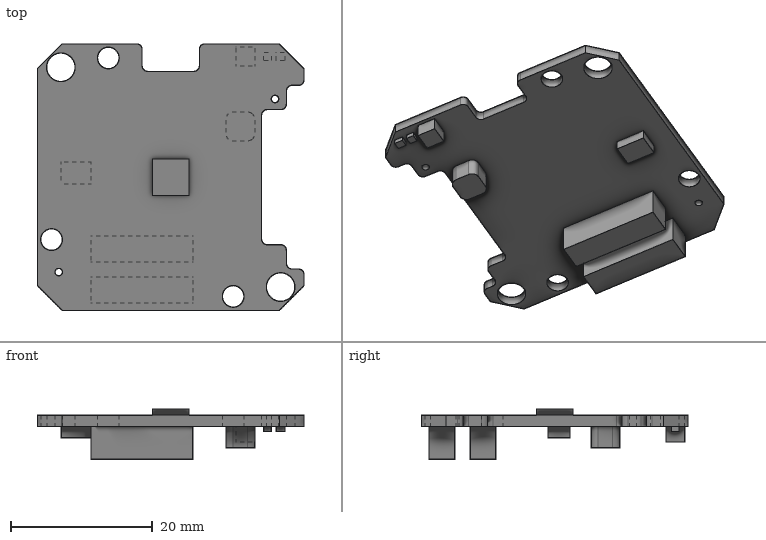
import cadquery as cq

board_size = 37.6
board_half = board_size / 2
board_thickness = 1.6
corner_cut = 3.5

outline_radius = 0.8
notch_width = 8.05
notch_depth = 3.87
recess_depth = 5.98
recess_half_length = 9.5
step_depth = 2.5
step_half_length = 12.95

large_hole_diameter = 4.0
large_hole_offset = 15.5
medium_hole_diameter = 3.0
medium_hole_near = 8.8
medium_hole_far = 16.8
small_hole_diameter = 1.0
small_hole_centers = [(14.7, 11.0), (-15.8, -13.4)]

chip_size = 5.15
chip_height = 0.85

connector_length = 14.35
connector_width = 3.65
connector_height = 4.62
connector_x = -4.05
connector_centers_y = [-15.9, -10.1]

post_size = 4.05
post_radius = 1.0
post_height = 3.0
post_center = (9.8, 7.15)

side_block_length = 4.2
side_block_width = 3.12
side_block_height = 1.58
side_block_center = (-13.35, 0.6)

edge_block_size = 2.67
edge_block_height = 2.18
edge_block_center = (10.55, 17.0)

component_depth = 1.1
component_height = 0.7
components = [(13.65, 1.1), (15.5, 1.25)]


def make_plate():
    """Square plate with cut corners."""
    plate = cq.Workplane("XY").rect(board_size, board_size).extrude(board_thickness)
    return plate.edges("|Z").chamfer(corner_cut)


def edge_openings():
    """Corner points of the edge notch and the stepped recess, each as a closed outline."""
    notch_half = notch_width / 2
    notch_floor = board_half - notch_depth
    notch = [
        (-notch_half, board_half),
        (-notch_half, notch_floor),
        (notch_half, notch_floor),
        (notch_half, board_half),
    ]
    step_x = board_half - step_depth
    recess_x = board_half - recess_depth
    recess = [
        (board_half, step_half_length),
        (step_x, step_half_length),
        (step_x, recess_half_length),
        (recess_x, recess_half_length),
        (recess_x, -recess_half_length),
        (step_x, -recess_half_length),
        (step_x, -step_half_length),
        (board_half, -step_half_length),
    ]
    return [notch, recess]


def cut_edge_openings(plate):
    """Cut the openings and round all their corners."""
    for corners in edge_openings():
        plate = plate.cut(cq.Workplane("XY").polyline(corners).close().extrude(board_thickness))
        for x, y in corners:
            corner_point = (x, y, board_thickness / 2)
            corner_edge = plate.edges("|Z").edges(cq.NearestToPointSelector(corner_point))
            plate = corner_edge.fillet(outline_radius)
    return plate


def drill(plate, diameter, centers):
    """Cut through holes of one diameter."""
    holes = cq.Workplane("XY").pushPoints(centers).circle(diameter / 2).extrude(board_thickness)
    return plate.cut(holes)


def drill_all_holes(plate):
    large_centers = [
        (-large_hole_offset, large_hole_offset),
        (large_hole_offset, -large_hole_offset),
    ]
    medium_centers = [
        (-medium_hole_near, medium_hole_far),
        (-medium_hole_far, -medium_hole_near),
        (medium_hole_near, -medium_hole_far),
    ]
    plate = drill(plate, large_hole_diameter, large_centers)
    plate = drill(plate, medium_hole_diameter, medium_centers)
    return drill(plate, small_hole_diameter, small_hole_centers)


def block_below(center, length, width, height):
    """Box hanging from the underside of the board."""
    return cq.Workplane("XY").center(*center).rect(length, width).extrude(-height)


def make_post():
    post = block_below(post_center, post_size, post_size, post_height)
    return post.edges("|Z").fillet(post_radius)


def make_board():
    """Board in one piece with everything on its underside."""
    board = drill_all_holes(cut_edge_openings(make_plate()))
    for y in connector_centers_y:
        connector = block_below((connector_x, y), connector_length, connector_width, connector_height)
        board = board.union(connector)
    board = board.union(make_post())
    board = board.union(
        block_below(side_block_center, side_block_length, side_block_width, side_block_height)
    )
    board = board.union(
        block_below(edge_block_center, edge_block_size, edge_block_size, edge_block_height)
    )
    component_y = edge_block_center[1]
    for x, width in components:
        board = board.union(block_below((x, component_y), width, component_depth, component_height))
    return board


def make_chip():
    """Square chip resting on the centre of the board."""
    top_plane = cq.Workplane("XY").workplane(offset=board_thickness)
    return top_plane.rect(chip_size, chip_size).extrude(chip_height)


board = make_board()
chip = make_chip()

result = cq.Compound.makeCompound([board.solids().val(), chip.val()])